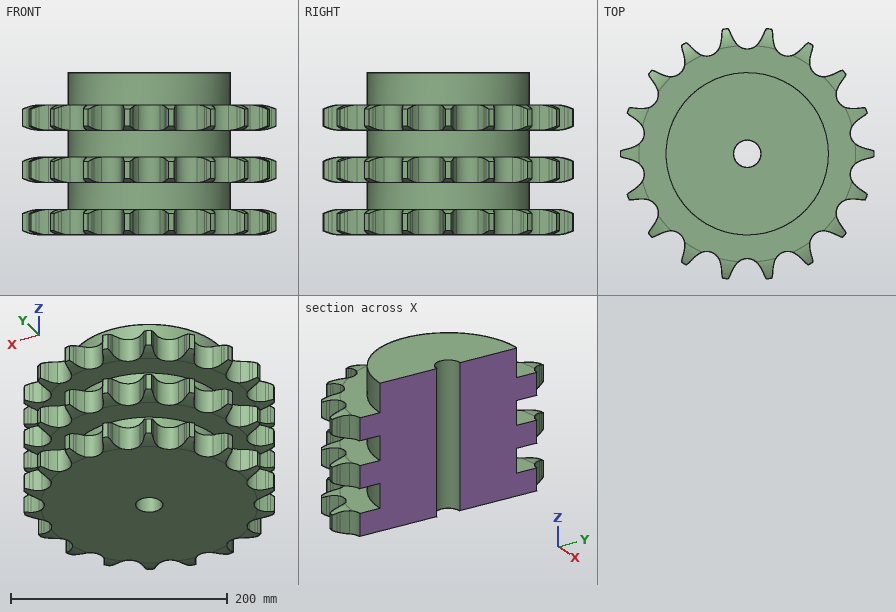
import cadquery as cq
import math

tooth_count = 18
tip_radius = 234.3 / 2
pitch_circle_radius = 109.7
disc_thickness = 23.7
strand_count = 3
strand_spacing = 48.3
face_radius = 100.0
hub_diameter = 150
bore_diameter = 25.0
total_height = 150

half_pitch_angle = 180 / tooth_count
chain_pitch = 2 * pitch_circle_radius * math.sin(math.radians(half_pitch_angle))
roller_diameter = chain_pitch / 1.5
tooth_side_radius = chain_pitch

seating_angle = 35 + 60 / tooth_count
working_angle = 18 - 56 / tooth_count
topping_angle = 17 - 64 / tooth_count
flank_angle = seating_angle - working_angle
topping_end_angle = 50
seating_radius = 0.5025 * roller_diameter
working_offset = 0.8 * roller_diameter
topping_offset = 1.4 * roller_diameter
working_radius = working_offset + seating_radius
topping_radius = (
    working_offset * math.cos(math.radians(working_angle))
    + topping_offset * math.cos(math.radians(topping_angle))
    - working_radius
)


def polar(center, radius, angle):
    """Point at a given radius and angle (degrees) around a center."""
    turn = math.radians(angle)
    return (center[0] + radius * math.cos(turn), center[1] + radius * math.sin(turn))


def mirrored(point):
    """Same point on the other side of the gap's center line."""
    return (-point[0], point[1])


def tooth_gap():
    """Cutter for one gap between teeth, centered on the +Y direction."""
    roller_center = (0, pitch_circle_radius)
    working_center = polar(roller_center, working_offset, 180 - seating_angle)
    topping_center = polar(roller_center, topping_offset, -half_pitch_angle)

    seat_bottom = polar(roller_center, seating_radius, -90)
    seat_end = polar(roller_center, seating_radius, -seating_angle)
    working_middle = polar(working_center, working_radius, -(seating_angle + flank_angle) / 2)
    working_end = polar(working_center, working_radius, -flank_angle)
    topping_start = polar(topping_center, topping_radius, 180 - flank_angle)
    topping_middle = polar(topping_center, topping_radius, 180 - (flank_angle + topping_end_angle) / 2)
    topping_end = polar(topping_center, topping_radius, 180 - topping_end_angle)

    return (
        cq.Workplane("XY")
        .moveTo(*mirrored(seat_end))
        .threePointArc(seat_bottom, seat_end)
        .threePointArc(working_middle, working_end)
        .lineTo(*topping_start)
        .threePointArc(topping_middle, topping_end)
        .lineTo(*mirrored(topping_end))
        .threePointArc(mirrored(topping_middle), mirrored(topping_start))
        .lineTo(*mirrored(working_end))
        .threePointArc(mirrored(working_middle), mirrored(seat_end))
        .close()
        .extrude(total_height)
    )


def toothless_disc():
    """One disc standing on Z = 0, its rim narrowed by arcs tangent to the side faces."""
    rim_width = tip_radius - face_radius
    rim_drop = tooth_side_radius - math.sqrt(tooth_side_radius**2 - rim_width**2)
    half_sweep = math.degrees(math.asin(rim_width / tooth_side_radius)) / 2
    lower_middle = polar((face_radius, tooth_side_radius), tooth_side_radius, -90 + half_sweep)
    upper_middle = (lower_middle[0], disc_thickness - lower_middle[1])
    return (
        cq.Workplane("XZ")
        .lineTo(face_radius, 0)
        .threePointArc(lower_middle, (tip_radius, rim_drop))
        .lineTo(tip_radius, disc_thickness - rim_drop)
        .threePointArc(upper_middle, (face_radius, disc_thickness))
        .lineTo(0, disc_thickness)
        .close()
        .revolve(360, (0, 0), (0, 1))
    )


sprocket = cq.Workplane("XY").circle(hub_diameter / 2).extrude(total_height)
for strand in range(strand_count):
    sprocket = sprocket.union(toothless_disc().translate((0, 0, strand * strand_spacing)))

gap = tooth_gap()
for index in range(tooth_count):
    turned_gap = gap.rotate((0, 0, 0), (0, 0, 1), index * 360 / tooth_count)
    sprocket = sprocket.cut(turned_gap)

bore = cq.Workplane("XY").circle(bore_diameter / 2).extrude(total_height)
result = sprocket.cut(bore)